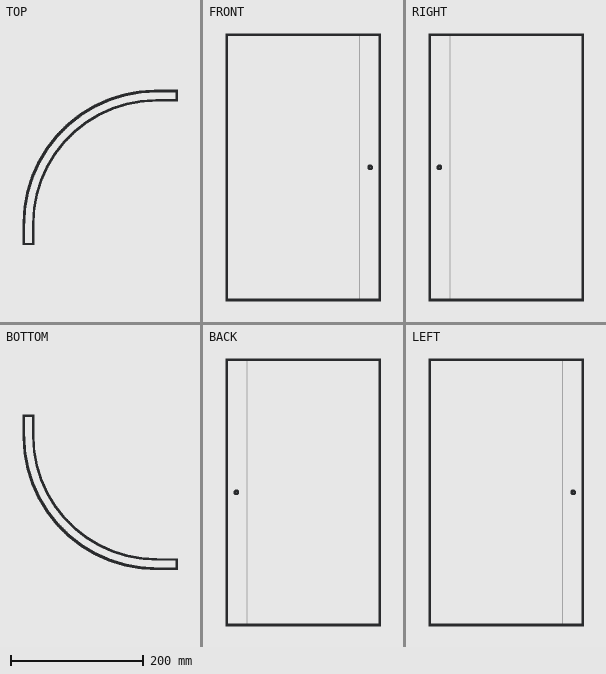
import cadquery as cq
import math

height = 402.0
side = 232.0
strip_length = 31.0
sheet = 1.0
flange_width = 15.0
hole_diameter = 5.0
hole_edge_distance = 15.0

outer_radius = side - strip_length
half_side = side / 2


def curved_band(width, thickness):
    """Strip-arc-strip band, `width` deep from the outer face, standing on Z = 0."""
    outer = -half_side
    inner = outer + width
    end = half_side
    arc_end = end - strip_length
    diagonal = math.sqrt(0.5)
    outer_mid = arc_end - outer_radius * diagonal
    inner_mid = arc_end - (outer_radius - width) * diagonal
    return (
        cq.Workplane("XY")
        .moveTo(outer, -end)
        .lineTo(outer, -arc_end)
        .threePointArc((outer_mid, -outer_mid), (arc_end, -outer))
        .lineTo(end, -outer)
        .lineTo(end, -inner)
        .lineTo(arc_end, -inner)
        .threePointArc((inner_mid, -inner_mid), (inner, -arc_end))
        .lineTo(inner, -end)
        .close()
        .extrude(thickness)
    )


skin = curved_band(sheet, height)
flange = curved_band(flange_width, sheet)
panel = skin.union(flange).union(flange.translate((0, 0, height - sheet)))

hole_offset = half_side - hole_edge_distance
hole_radius = hole_diameter / 2
mid_height = height / 2
drill_length = 2 * sheet
drill_start = half_side + sheet / 2

hole_along_x = cq.Solid.makeCylinder(
    hole_radius,
    drill_length,
    cq.Vector(-drill_start, -hole_offset, mid_height),
    cq.Vector(1, 0, 0),
)
hole_along_y = cq.Solid.makeCylinder(
    hole_radius,
    drill_length,
    cq.Vector(hole_offset, drill_start, mid_height),
    cq.Vector(0, -1, 0),
)

result = panel.cut(hole_along_x).cut(hole_along_y)